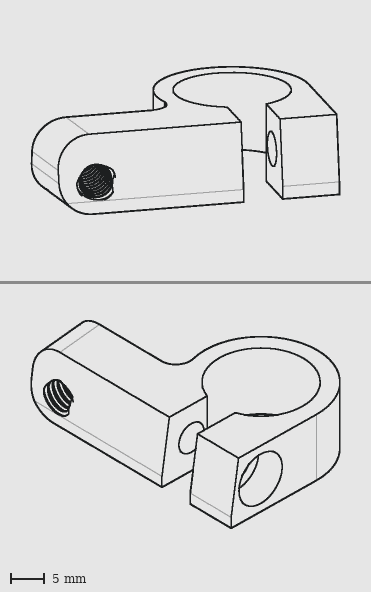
import cadquery as cq
import math

height = 12.0
ring_radius = 11.7
bore_radius = 8.75
slit_width = 6.0

turn = 6.5
outer_face = 17.6
foot_height = 2.0
outer_lean = 1.5
inner_face = 5.73
inner_lean = 1.07
corner_fillet = 3.0

overall_length = 44.75
arm_end = overall_length - ring_radius
end_radius = 5.0

clamp_hole_offset = 11.5
clamp_hole_diameter = 5.2
counterbore_diameter = 8.95
counterbore_depth = 5.0
blind_depth = 8.95

thread_offset = 25.55
thread_height = 5.8
thread_tilt = math.degrees(math.atan(inner_lean / height))
crest_diameter = 5.0
root_diameter = 6.0
pitch = 1.0
root_flat = 0.2
crest_gap = 0.15
groove_bite = 0.15
thread_overshoot = 2.5


def turned(shape):
    return shape.rotate((0, 0, 0), (0, 0, 1), -turn)


def make_bar(inner_bottom, inner_top, y_start, length):
    """Bar drawn in the turned frame, running toward -y, with the leaning outer face."""
    profile = [
        (inner_bottom, 0),
        (outer_face, 0),
        (outer_face, foot_height),
        (outer_face - outer_lean, height),
        (inner_top, height),
    ]
    bar = cq.Workplane("XZ", origin=(0, y_start, 0)).polyline(profile).close().extrude(length)
    return turned(bar)


def make_end_envelope():
    """Wide block with the rounded end that trims the arm."""
    block = cq.Workplane("XY").box(4 * outer_face, arm_end, height, centered=(True, False, False))
    return block.translate((0, -arm_end, 0)).edges("|X and <Y").fillet(end_radius)


def make_blank():
    ring = cq.Workplane("XY").circle(ring_radius).extrude(height)
    lugs = make_bar(0, 0, ring_radius, ring_radius)
    arm = make_bar(inner_face, inner_face + inner_lean, 0, arm_end + ring_radius)
    arm = arm.intersect(make_end_envelope())
    blank = ring.union(lugs).union(arm)
    inner_corner = cq.selectors.BoxSelector(
        (0, -ring_radius - corner_fillet, height / 4),
        (bore_radius, -bore_radius, height * 3 / 4),
    )
    return blank.edges(inner_corner).fillet(corner_fillet)


def make_slit():
    slit = cq.Workplane("XY").box(2 * outer_face, slit_width, height, centered=(False, True, False))
    return turned(slit)


def make_clamp_hole():
    """Screw hole along y, across the slit, at mid height."""
    plane = cq.Workplane("XZ", origin=(clamp_hole_offset, ring_radius, height / 2))
    hole = plane.circle(clamp_hole_diameter / 2).extrude(ring_radius + slit_width / 2 + blind_depth)
    counterbore = plane.circle(counterbore_diameter / 2).extrude(counterbore_depth)
    return turned(hole.union(counterbore))


def make_thread_cutters():
    """Helical groove and crest bore along the sloping hole axis, to be cut in that order."""
    face_middle = inner_face + inner_lean / 2
    length = outer_face - face_middle + 2 * thread_overshoot
    crest_radius = crest_diameter / 2
    root_radius = root_diameter / 2
    mouth_radius = crest_radius - groove_bite
    mouth_half_width = (pitch - crest_gap) / 2

    bore = cq.Workplane("XY").circle(crest_radius).extrude(length)
    helix = cq.Workplane(cq.Wire.makeHelix(pitch, length, mouth_radius))
    groove = (
        cq.Workplane("XZ")
        .moveTo(mouth_radius, -mouth_half_width)
        .lineTo(root_radius, -root_flat / 2)
        .lineTo(root_radius, root_flat / 2)
        .lineTo(mouth_radius, mouth_half_width)
        .close()
        .sweep(helix, isFrenet=True)
    )

    def placed(cutter):
        cutter = cutter.translate((0, 0, -thread_overshoot))
        cutter = cutter.rotate((0, 0, 0), (0, 1, 0), 90 + thread_tilt)
        return turned(cutter.translate((face_middle, -thread_offset, thread_height)))

    return placed(groove), placed(bore)


body = make_blank()
body = body.cut(cq.Workplane("XY").circle(bore_radius).extrude(height))
body = body.cut(make_slit())
body = body.cut(make_clamp_hole())
for cutter in make_thread_cutters():
    body = body.cut(cutter)

result = body.solids()